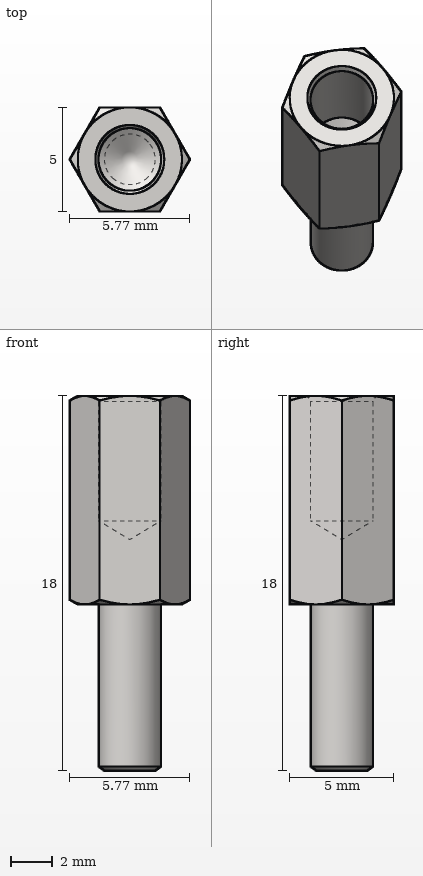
import cadquery as cq
import math

total_length = 18.0
hex_length = 10.0
across_flats = 5.0
stud_diameter = 3.0
stud_chamfer_height = 0.22
stud_chamfer_width = 0.29
corner_chamfer_angle = 30.0
bore_diameter = 3.0
bore_depth = 6.0
bore_mouth_diameter = 3.31
drill_point_angle = 118.0
mouth_cone_angle = 60.0

stud_length = total_length - hex_length
flat_radius = across_flats / 2
corner_radius = flat_radius / math.cos(math.radians(30))
corner_chamfer_height = (corner_radius - flat_radius) * math.tan(math.radians(corner_chamfer_angle))
stud_radius = stud_diameter / 2
bore_radius = bore_diameter / 2
bore_mouth_radius = bore_mouth_diameter / 2
mouth_chamfer_height = (bore_mouth_radius - bore_radius) / math.tan(math.radians(mouth_cone_angle / 2))
drill_point_height = bore_radius / math.tan(math.radians(drill_point_angle / 2))


def revolve_profile(points):
    """Revolve a closed (radius, height) outline about the Z axis."""
    return cq.Workplane("XZ").polyline(points).close().revolve(360, (0, 0), (0, 1))


def make_hex_body():
    """Hexagonal prism with its corners turned conical at both ends."""
    prism = (
        cq.Workplane("XY")
        .workplane(offset=stud_length)
        .polygon(6, 2 * corner_radius)
        .extrude(hex_length)
    )
    turned_envelope = revolve_profile([
        (0, stud_length),
        (flat_radius, stud_length),
        (corner_radius, stud_length + corner_chamfer_height),
        (corner_radius, total_length - corner_chamfer_height),
        (flat_radius, total_length),
        (0, total_length),
    ])
    return prism.intersect(turned_envelope)


def make_stud():
    """Round stud with a chamfered lower end, joined to the hexagon above."""
    return revolve_profile([
        (0, 0),
        (stud_radius - stud_chamfer_width, 0),
        (stud_radius, stud_chamfer_height),
        (stud_radius, stud_length),
        (0, stud_length),
    ])


def make_bore():
    """Blind bore with a conical bottom and a 60 degree countersunk mouth."""
    bore_bottom = total_length - bore_depth
    return revolve_profile([
        (0, bore_bottom - drill_point_height),
        (bore_radius, bore_bottom),
        (bore_radius, total_length - mouth_chamfer_height),
        (bore_mouth_radius, total_length),
        (0, total_length),
    ])


result = make_hex_body().union(make_stud()).cut(make_bore())